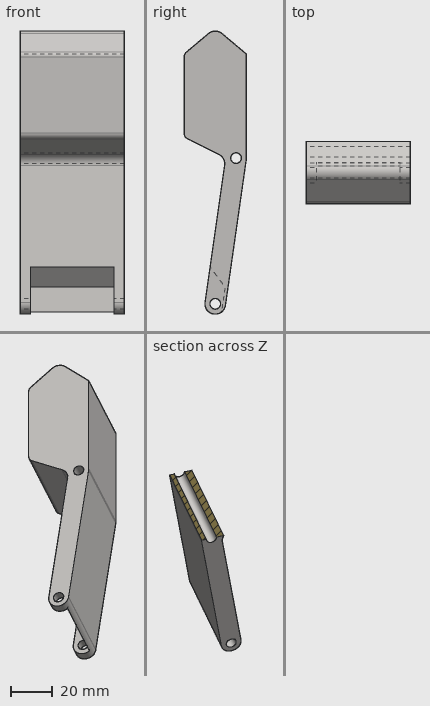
import cadquery as cq
import math

width = 50.0
half_depth = 15.0

lower_pivot = cq.Vector(0, 0, 0)
upper_pivot = cq.Vector(0, 10.0, 70.0)
pivot_hole_diameter = 5.0
leg_radius = 5.0

shoulder_z = 120.0
roof_angle = 40.0
roof_peak_z = shoulder_z + half_depth * math.tan(math.radians(roof_angle))
chin_z = 80.1
chin_slope = 0.5
peak_radius = 5.0
front_edge_radius = 3.0
neck_radius = 5.0

cheek_thickness = 5.0
back_wall_thickness = 1.4
pocket_top_distance = 17.2
pocket_top_angle = 45.0

leg_axis = (upper_pivot - lower_pivot).normalized()
leg_normal = cq.Vector(0, leg_axis.z, -leg_axis.y)


def leg_point(across, along):
    """(y, z) of a point given in leg coordinates measured from the lower pivot."""
    point = lower_pivot + leg_normal * across + leg_axis * along
    return (point.y, point.z)


def extrude_across(sketch, length):
    """Extrude a closed YZ profile symmetrically about X = 0."""
    return sketch.extrude(length / 2, both=True)


def neck_corner():
    """Where the sloping underside of the head meets the front face of the leg."""
    front_y, front_z = leg_point(-leg_radius, 0)
    lean = leg_axis.y / leg_axis.z
    chin_line_z = chin_z - chin_slope * (front_y + half_depth)
    rise = (chin_line_z - front_z) / (1 + chin_slope * lean)
    return (front_y + lean * rise, front_z + rise)


def round_edge(body, corner, radius):
    """Fillet the full-width edge that passes through the (y, z) corner."""
    edge = cq.selectors.NearestToPointSelector((0, *corner))
    return body.edges("|X").edges(edge).fillet(radius)


def make_body():
    leg_length = (upper_pivot - lower_pivot).Length
    bend_angle = math.atan2(leg_axis.y, leg_axis.z) / 2
    bend_middle = (
        upper_pivot.y + leg_radius * math.cos(bend_angle),
        upper_pivot.z - leg_radius * math.sin(bend_angle),
    )
    shoulder = (-half_depth, shoulder_z)
    chin = (-half_depth, chin_z)
    peak = (0, roof_peak_z)
    neck = neck_corner()

    profile = (
        cq.Workplane("YZ")
        .moveTo(*leg_point(-leg_radius, 0))
        .threePointArc(leg_point(0, -leg_radius), leg_point(leg_radius, 0))
        .lineTo(*leg_point(leg_radius, leg_length))
        .threePointArc(bend_middle, (half_depth, upper_pivot.z))
        .lineTo(half_depth, shoulder_z)
        .lineTo(*peak)
        .lineTo(*shoulder)
        .lineTo(*chin)
        .lineTo(*neck)
        .close()
    )
    body = extrude_across(profile, width)
    body = round_edge(body, peak, peak_radius)
    body = round_edge(body, shoulder, front_edge_radius)
    body = round_edge(body, chin, front_edge_radius)
    return round_edge(body, neck, neck_radius)


def make_pocket():
    depth = 2 * leg_radius - back_wall_thickness
    floor = leg_radius - back_wall_thickness
    slant = depth / math.tan(math.radians(pocket_top_angle))
    below_leg = -2 * leg_radius
    profile = cq.Workplane("YZ").polyline([
        leg_point(-leg_radius, pocket_top_distance),
        leg_point(floor, pocket_top_distance - slant),
        leg_point(floor, below_leg),
        leg_point(-leg_radius, below_leg),
    ]).close()
    return extrude_across(profile, width - 2 * cheek_thickness)


def make_pivot_holes():
    centers = [(pivot.y, pivot.z) for pivot in (lower_pivot, upper_pivot)]
    profile = cq.Workplane("YZ").pushPoints(centers).circle(pivot_hole_diameter / 2)
    return extrude_across(profile, width)


result = make_body().cut(make_pocket()).cut(make_pivot_holes())